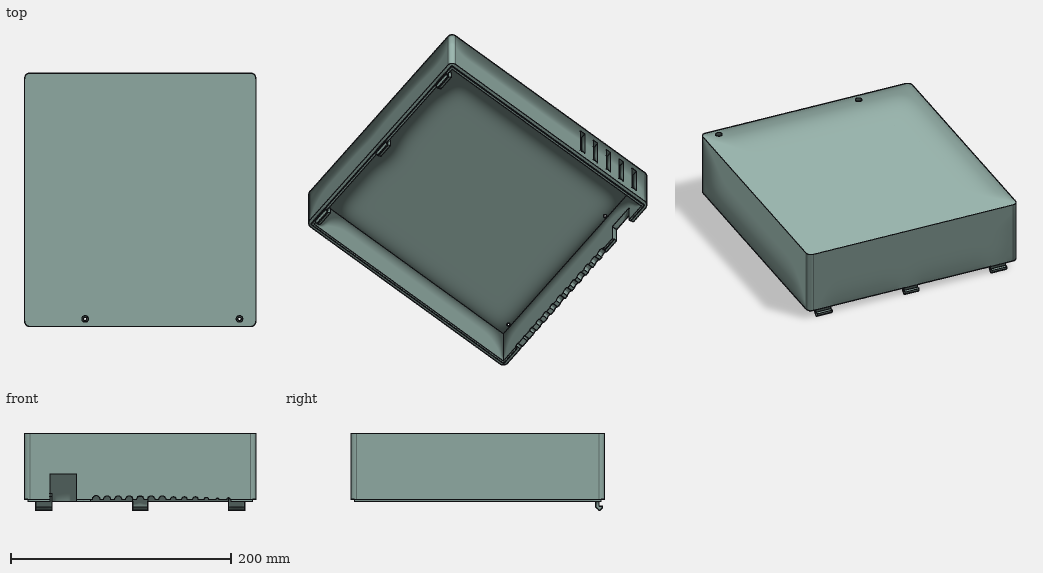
import cadquery as cq

LENGTH_X = 210.0
LENGTH_Y = 230.0
HEIGHT = 60.0
WALL = 5.0
CORNER_RADIUS = 5.0

LIP_INSET = 3.0
LIP_HEIGHT = 2.0

LEFT = -LENGTH_X / 2
FRONT = -LENGTH_Y / 2
BACK_INNER = LENGTH_Y / 2 - WALL
LIP_BOTTOM = -LIP_HEIGHT

OPENING_WIDTH = 24.0
OPENING_OFFSET = 23.0
OPENING_TOP = 23.0

NOTCH_DIAMETERS = [7.0] + 6 * [6.5] + 3 * [5.0] + [4.0, 2.5, 3.0]
NOTCH_PITCH = 10.0
NOTCH_FIRST_OFFSET = 65.0
LIP_GAP_START = 60.0
LIP_GAP_END = 187.5

SLOT_COUNT = 5
SLOT_PITCH = 15.0
SLOT_WIDTH = 5.0
SLOT_HEIGHT = 40.0
SLOT_FIRST_OFFSET = 17.25

SCREW_OFFSETS_X = (55.0, 195.0)
SCREW_OFFSET_Y = 7.0
SCREW_DIAMETER = 3.0
HEAD_DIAMETER = 6.0
HEAD_DEPTH = 3.5

SIDE_HOOK_WIDTH = 15.0
SIDE_HOOK_OFFSET = 87.5
MIDDLE_HOOK_WIDTH = 14.0
HOOK_THICKNESS = 3.0
HOOK_TOP = 5.5
HOOK_BOTTOM = -9.85
BARB_REACH = 3.0
BARB_BOTTOM_FLAT = 1.0
BARB_TOP = -6.0


def corner_block(size_x, size_y, size_z, x, y, z):
    """Box whose lowest corner is at (x, y, z)."""
    return cq.Workplane("XY").box(size_x, size_y, size_z, centered=False).translate((x, y, z))


def make_shell():
    """Hollow rounded box with the square-cornered lip under its rim."""
    outer = cq.Workplane("XY").rect(LENGTH_X, LENGTH_Y).extrude(HEIGHT)
    outer = outer.edges("|Z").fillet(CORNER_RADIUS)
    lip = (
        cq.Workplane("XY")
        .rect(LENGTH_X - 2 * LIP_INSET, LENGTH_Y - 2 * LIP_INSET)
        .extrude(LIP_BOTTOM)
    )
    cavity = (
        cq.Workplane("XY")
        .workplane(offset=LIP_BOTTOM)
        .rect(LENGTH_X - 2 * WALL, LENGTH_Y - 2 * WALL)
        .extrude(HEIGHT - WALL + LIP_HEIGHT)
    )
    return outer.union(lip).cut(cavity)


def make_opening():
    """Rectangular cutter for the connector opening, open at the bottom."""
    depth = OPENING_TOP + LIP_HEIGHT
    return corner_block(OPENING_WIDTH, WALL, depth, LEFT + OPENING_OFFSET, FRONT, LIP_BOTTOM)


def make_cable_notches():
    """Half-round notches in the front rim, plus the gap in the lip below them."""
    gap_width = LIP_GAP_END - LIP_GAP_START
    cutter = corner_block(gap_width, WALL, LIP_HEIGHT, LEFT + LIP_GAP_START, FRONT, LIP_BOTTOM)
    for i, diameter in enumerate(NOTCH_DIAMETERS):
        x = LEFT + NOTCH_FIRST_OFFSET + i * NOTCH_PITCH
        notch = (
            cq.Workplane("XZ", origin=(0, FRONT, 0))
            .center(x, 0)
            .circle(diameter / 2)
            .extrude(-WALL)
        )
        cutter = cutter.union(notch)
    return cutter


def make_vent_slots():
    """Row of upright slots through the left wall."""
    first_y = FRONT + SLOT_FIRST_OFFSET
    centres = [(first_y + i * SLOT_PITCH, HEIGHT / 2) for i in range(SLOT_COUNT)]
    return (
        cq.Workplane("YZ", origin=(LEFT, 0, 0))
        .pushPoints(centres)
        .rect(SLOT_WIDTH, SLOT_HEIGHT)
        .extrude(WALL)
    )


def add_screw_holes(body):
    """Counterbored holes through the top, near the front edge."""
    centres = [(LEFT + x, FRONT + SCREW_OFFSET_Y) for x in SCREW_OFFSETS_X]
    return (
        body.faces(">Z")
        .workplane(origin=(0, 0, HEIGHT))
        .pushPoints(centres)
        .cboreHole(SCREW_DIAMETER, HEAD_DIAMETER, HEAD_DEPTH, depth=WALL)
    )


def make_hook(x, width):
    """Snap hook centred at x: a bevelled strip ending in a barb that points outwards."""
    inner = BACK_INNER - HOOK_THICKNESS
    tip = BACK_INNER + BARB_REACH
    bottom_flat_end = BACK_INNER + BARB_BOTTOM_FLAT
    profile = [
        (BACK_INNER, HOOK_TOP),
        (inner, HOOK_TOP - HOOK_THICKNESS),
        (inner, HOOK_BOTTOM + HOOK_THICKNESS),
        (BACK_INNER, HOOK_BOTTOM),
        (bottom_flat_end, HOOK_BOTTOM),
        (tip, HOOK_BOTTOM + tip - bottom_flat_end),
        (tip, BARB_TOP),
        (BACK_INNER, BARB_TOP),
    ]
    return (
        cq.Workplane("YZ", origin=(x - width / 2, 0, 0))
        .polyline(profile)
        .close()
        .extrude(width)
    )


result = make_shell().cut(make_opening()).cut(make_cable_notches()).cut(make_vent_slots())
result = add_screw_holes(result)
result = result.union(make_hook(0, MIDDLE_HOOK_WIDTH))
for hook_x in (-SIDE_HOOK_OFFSET, SIDE_HOOK_OFFSET):
    result = result.union(make_hook(hook_x, SIDE_HOOK_WIDTH))